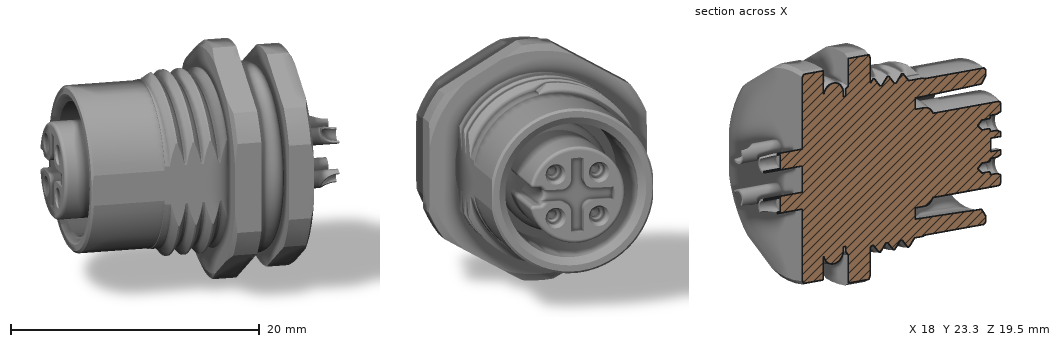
import cadquery as cq
import math


LENGTH = 23.3
BODY_FRONT = 1.5
THREAD_FRONT = 7.57
NUT_FRONT = 12.8
NUT_BACK = 14.98
BODY_BACK = 15.25
FLANGE_FRONT = 17.43
FLANGE_BACK = 19.5

BODY_R = 6.78
FLAT_HALF = 6.66
BODY_CHAMFER = 0.19
NECK_R = 6.52
THREAD_ROOT_R = 6.85
THREAD_CREST_R = 7.5
THREAD_END_R = 7.05
ENVELOPE_R = 7.7
THREAD_TURNS = 5
THREAD_CREST_SPAN = 7.04
THREAD_PITCH = THREAD_CREST_SPAN / THREAD_TURNS
THREAD_BASE = 1.23
THREAD_CREST = 0.15
THREAD_SINK = 0.1
THREAD_START_Y = 8.32
THREAD_START_ANGLE = 10.5
THREAD_ARC_ANGLE = 83.0
RUNOUT_ROOT_X = -1.2
RUNOUT_CREST_X = -0.45

MOUTH_R = 6.08
BORE_FRONT_R = 5.5
BORE_BACK_R = 5.34
MOUTH_DEPTH = 0.42
CAVITY_FLOOR = 8.39

NUT_FLATS = 18.0
NUT_CORNER_R = 9.75
NUT_FACE_R = 9.18
NUT_CHAMFER = 0.2
NUT_BORE_R = 6.9
FLANGE_FLATS = 16.9
FLANGE_CORNER_R = 9.0
FLANGE_FACE_R = 8.67
FLANGE_CHAMFER = 0.23

RING_SECTION_R = 1.0
RING_OUTER_R = 7.75

INSERT_R = 3.95
INSERT_ROUND = 0.28
BOSS_R = 4.5
BOSS_ROUND = 1.03
BOSS_FRONT = 6.52
KEY_HALF = 0.72
KEY_ARC_X = -3.0
KEY_END_X = -2.59
CROSS_WIDTH = 1.07
CROSS_R = 3.08
CROSS_CORNER_R = 0.8
CROSS_DEPTH = 0.98

CONTACT_OFFSET = 1.8
SOCKET_R = 0.65
SOCKET_MOUTH_R = 0.85
SOCKET_MOUTH_DEPTH = 0.42
SOCKET_DEPTH = 1.05
CONTACT_ENTRY_R = 0.5
CONTACT_R = 0.4
CONTACT_DEPTH = 1.86
PIN_R = 0.72
CUP_R = 0.55
CUP_DEPTH = 1.63
SCOOP_R = 2.2

PICK = 0.12

CORNERS = [(sx, sz) for sx in (-1, 1) for sz in (-1, 1)]


def revolved(points):
    """Solid of revolution about Y from (radius, y) points."""
    return cq.Workplane("XY").polyline(points).close().revolve(360, (0, 0, 0), (0, 1, 0))


def section(y):
    """Sketch plane across the axis at y; extruding by a negative length runs toward +Y."""
    return cq.Workplane("XZ", origin=(0, y, 0))


def cylinder(radius, y_start, y_end):
    return section(y_start).circle(radius).extrude(y_start - y_end)


def hexagon(across_flats, y_start, y_end):
    """Hexagonal prism with its flats facing +X and -X."""
    across_corners = across_flats / math.cos(math.pi / 6)
    prism = section(y_start).polygon(6, across_corners).extrude(y_start - y_end)
    return prism.rotate((0, 0, 0), (0, 1, 0), 30)


def make_thread_arc(start_angle, end_angle):
    """Stretch of right-handed ridge over the top (+Z) of the body, with its crest at y = 0 there."""
    flank_slope = (THREAD_BASE - THREAD_CREST) / 2 / (THREAD_CREST_R - THREAD_ROOT_R)
    foot_half = THREAD_BASE / 2 + THREAD_SINK * flank_slope
    sweep_angle = end_angle - start_angle
    helix = cq.Wire.makeHelix(THREAD_PITCH, THREAD_PITCH * sweep_angle / 360, THREAD_ROOT_R)
    ridge = (
        cq.Workplane("XZ")
        .polyline([
            (THREAD_ROOT_R - THREAD_SINK, -foot_half),
            (THREAD_CREST_R, -THREAD_CREST / 2),
            (THREAD_CREST_R, THREAD_CREST / 2),
            (THREAD_ROOT_R - THREAD_SINK, foot_half),
        ])
        .close()
        .sweep(cq.Workplane(helix), isFrenet=True)
    )
    return (
        ridge.rotate((0, 0, 0), (1, 0, 0), -90)
        .rotate((0, 0, 0), (0, 1, 0), start_angle - 90)
        .translate((0, THREAD_PITCH * start_angle / 360, 0))
    )


def make_runout_cut():
    """Wedge that slopes the first end of the thread ridge."""
    wedge_front = THREAD_START_Y - THREAD_PITCH / 2
    return (
        section(wedge_front)
        .polyline([
            (2 * RUNOUT_ROOT_X, THREAD_ROOT_R),
            (RUNOUT_ROOT_X, THREAD_ROOT_R),
            (RUNOUT_CREST_X, THREAD_CREST_R),
            (RUNOUT_CREST_X, THREAD_CREST_R + THREAD_SINK),
            (2 * RUNOUT_ROOT_X, THREAD_CREST_R + THREAD_SINK),
        ])
        .close()
        .extrude(-THREAD_PITCH)
    )


def flat_sided_slab(y_start, y_end):
    """Slab between the two body flats."""
    return section(y_start).rect(2 * FLAT_HALF, 3 * BODY_R).extrude(y_start - y_end)


def make_threaded_shank():
    """Flat-sided core with the thread added as one arc per half turn."""
    envelope = revolved([
        (0, THREAD_FRONT),
        (ENVELOPE_R, THREAD_FRONT),
        (ENVELOPE_R, BODY_BACK - (ENVELOPE_R - THREAD_END_R)),
        (THREAD_END_R, BODY_BACK),
        (0, BODY_BACK),
    ])
    slab = flat_sided_slab(THREAD_FRONT, BODY_BACK)
    envelope = envelope.intersect(slab)
    shank = cylinder(THREAD_ROOT_R, THREAD_FRONT, BODY_BACK).intersect(slab)
    first_arc = make_thread_arc(-THREAD_START_ANGLE, THREAD_ARC_ANGLE)
    full_arc = make_thread_arc(-THREAD_ARC_ANGLE, THREAD_ARC_ANGLE)
    shank = shank.union(
        first_arc.translate((0, THREAD_START_Y, 0)).cut(make_runout_cut()).intersect(envelope)
    )
    for half_turn in range(1, 2 * THREAD_TURNS + 1):
        crest_y = THREAD_START_Y + THREAD_PITCH * half_turn / 2
        arc = full_arc.rotate((0, 0, 0), (0, 1, 0), 180 * half_turn).translate((0, crest_y, 0))
        shank = shank.union(arc.intersect(envelope))
    return shank


def make_sleeve():
    sleeve = cylinder(BODY_R, BODY_FRONT, THREAD_FRONT)
    sleeve = sleeve.faces("<Y").edges().chamfer(BODY_CHAMFER)
    return sleeve.intersect(flat_sided_slab(BODY_FRONT, THREAD_FRONT))


def make_cavity():
    return revolved([
        (0, BODY_FRONT),
        (MOUTH_R, BODY_FRONT),
        (BORE_FRONT_R, BODY_FRONT + MOUTH_DEPTH),
        (BORE_BACK_R, CAVITY_FLOOR),
        (0, CAVITY_FLOOR),
    ])


def make_body():
    neck = cylinder(NECK_R, BODY_BACK, FLANGE_FRONT)
    return make_threaded_shank().union(make_sleeve()).cut(make_cavity()).union(neck)


def make_nut():
    """Chamfered hexagon, open only in the gaps between its bore and the body flats."""
    envelope = revolved([
        (0, NUT_FRONT),
        (NUT_FACE_R, NUT_FRONT),
        (NUT_CORNER_R, NUT_FRONT + NUT_CHAMFER),
        (NUT_CORNER_R, NUT_BACK),
        (0, NUT_BACK),
    ])
    bore = cylinder(NUT_BORE_R, NUT_FRONT, NUT_BACK)
    flat_gaps = bore.cut(flat_sided_slab(NUT_FRONT, NUT_BACK))
    return hexagon(NUT_FLATS, NUT_FRONT, NUT_BACK).intersect(envelope).cut(flat_gaps)


def make_flange():
    envelope = revolved([
        (0, FLANGE_FRONT),
        (FLANGE_CORNER_R, FLANGE_FRONT),
        (FLANGE_CORNER_R, FLANGE_BACK - FLANGE_CHAMFER),
        (FLANGE_FACE_R, FLANGE_BACK),
        (0, FLANGE_BACK),
    ])
    return hexagon(FLANGE_FLATS, FLANGE_FRONT, FLANGE_BACK).intersect(envelope)


def make_sealing_ring():
    centre_r = RING_OUTER_R - RING_SECTION_R
    centre_y = FLANGE_FRONT - RING_SECTION_R
    return (
        cq.Workplane("XY")
        .center(-centre_r, centre_y)
        .circle(RING_SECTION_R)
        .revolve(360, (centre_r, 0, 0), (centre_r, 1, 0))
    )


def make_cross():
    """Cross-shaped recess with rounded inner corners and arc-shaped arm ends."""
    arm = 2 * CROSS_R
    depth = -CROSS_DEPTH
    bars = section(0).rect(arm, CROSS_WIDTH).extrude(depth)
    bars = bars.union(section(0).rect(CROSS_WIDTH, arm).extrude(depth))
    half = CROSS_WIDTH / 2
    inner_corners = cq.selectors.BoxSelector(
        (-half - PICK, -PICK, -half - PICK), (half + PICK, CROSS_DEPTH + PICK, half + PICK)
    )
    bars = bars.edges("|Y").edges(inner_corners).fillet(CROSS_CORNER_R)
    return bars.intersect(cylinder(CROSS_R, 0, CROSS_DEPTH))


def make_key_slot():
    """Keyway open toward -X with an arc-shaped inner end."""
    return (
        section(0)
        .moveTo(-2 * INSERT_R, KEY_HALF)
        .lineTo(KEY_ARC_X, KEY_HALF)
        .threePointArc((KEY_END_X, 0), (KEY_ARC_X, -KEY_HALF))
        .lineTo(-2 * INSERT_R, -KEY_HALF)
        .close()
        .extrude(-CAVITY_FLOOR)
    )


def make_socket():
    """Stepped contact hole on the Y axis, ready to be moved into place."""
    entry_slope = CONTACT_ENTRY_R - CONTACT_R
    return revolved([
        (0, 0),
        (SOCKET_MOUTH_R, 0),
        (SOCKET_R, SOCKET_MOUTH_DEPTH),
        (SOCKET_R, SOCKET_DEPTH),
        (CONTACT_ENTRY_R, SOCKET_DEPTH),
        (CONTACT_R, SOCKET_DEPTH + entry_slope),
        (CONTACT_R, CONTACT_DEPTH),
        (0, CONTACT_DEPTH + CONTACT_R),
    ])


def make_insert():
    """Keyed contact carrier with a rounded rim, standing on a domed boss."""
    insert = cylinder(INSERT_R, 0, CAVITY_FLOOR).cut(make_key_slot())
    lips = cq.selectors.BoxSelector(
        (-INSERT_R - PICK, -PICK, -KEY_HALF - PICK),
        (-INSERT_R + INSERT_ROUND, CAVITY_FLOOR + PICK, KEY_HALF + PICK),
    )
    insert = insert.edges("|Y").edges(lips).fillet(INSERT_ROUND)
    insert = insert.faces("<Y").edges().fillet(INSERT_ROUND)
    boss = cylinder(BOSS_R, BOSS_FRONT, CAVITY_FLOOR).faces("<Y").edges().fillet(BOSS_ROUND)
    insert = insert.union(boss).cut(make_cross())
    floor_lip = cq.selectors.BoxSelector(
        (KEY_ARC_X, CROSS_DEPTH - PICK, -CROSS_WIDTH / 2),
        (KEY_END_X + PICK, CROSS_DEPTH + PICK, CROSS_WIDTH / 2),
    )
    insert = insert.edges(floor_lip).fillet(INSERT_ROUND)
    socket = make_socket()
    for sx, sz in CORNERS:
        insert = insert.cut(socket.translate((sx * CONTACT_OFFSET, 0, sz * CONTACT_OFFSET)))
    return insert


def make_solder_pin():
    """Hollow-ended pin on the Y axis, scooped open on its +X side."""
    pin = cylinder(PIN_R, FLANGE_BACK, LENGTH)
    cup = cylinder(CUP_R, LENGTH - CUP_DEPTH, LENGTH)
    scoop = (
        cq.Workplane("XY", origin=(SCOOP_R, LENGTH, -2 * PIN_R))
        .circle(SCOOP_R)
        .extrude(4 * PIN_R)
    )
    return pin.cut(cup).cut(scoop)


def place_pin(pin, sx, sz):
    """Move a pin to its corner with the scoop facing away from the axis."""
    outward = math.degrees(math.atan2(-sz, sx))
    turned = pin.rotate((0, 0, 0), (0, 1, 0), outward)
    return turned.translate((sx * CONTACT_OFFSET, 0, sz * CONTACT_OFFSET))


result = make_body().union(make_nut())
result = result.union(make_flange()).union(make_sealing_ring()).union(make_insert())
solder_pin = make_solder_pin()
for sx, sz in CORNERS:
    result = result.union(place_pin(solder_pin, sx, sz))